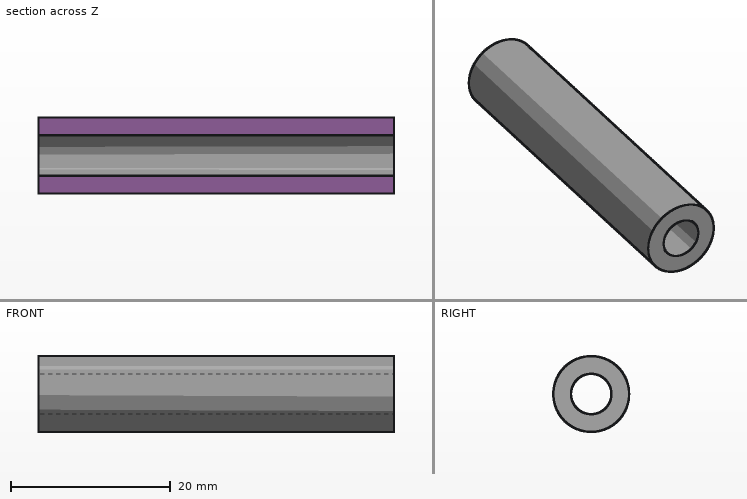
import cadquery as cq

length = 44.45
outer_diameter = 9.5
bore_diameter = 5.02

result = (
    cq.Workplane("YZ", origin=(-length / 2, 0, 0))
    .circle(outer_diameter / 2)
    .circle(bore_diameter / 2)
    .extrude(length)
)